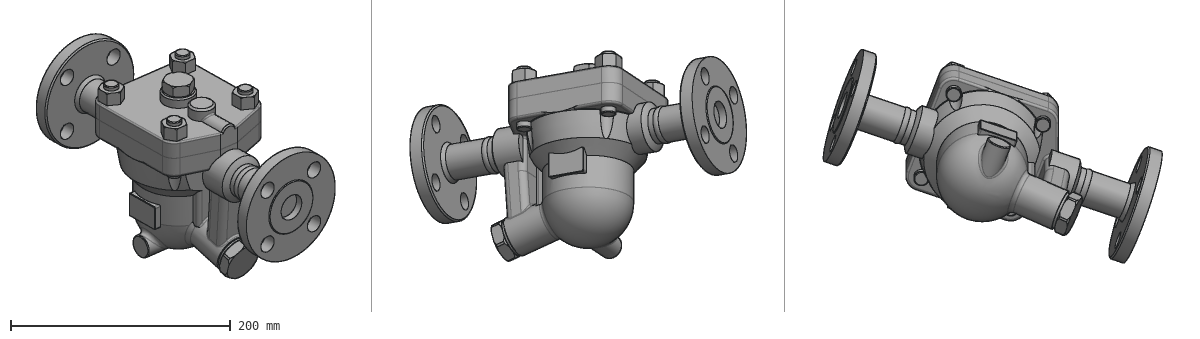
import cadquery as cq
import math


MARGIN = 0.3

INLET_X = -135.3
OUTLET_X = 155.7
RAISED_FACE_DIA = 53.5
RAISED_FACE_TIP_DIA = 51.8
RAISED_FACE_H = 1.0
FLANGE_DIA = 108.0
FLANGE_T = 13.5
FLANGE_CHAMFER = 1.5
FLANGE_HOLE_DIA = 16.0
FLANGE_HOLE_SPACING = 56.5
BORE_DIA = 25.0
BORE_DEPTH = 7.3
PIPE_DIA = 33.2
PIPE_ROOT_DIA = 38.0
PIPE_ROOT_L = 3.8
BEAD_START = 55.0
BEAD_END = 60.5
BEAD_H = 0.73
STUB_DIA = 33.0
BOSS_DIA = 46.0
SHOULDER_START = 65.8
SHOULDER_MID = 66.5
SHOULDER_MID_DIA = 37.5
BOSS_START = 69.3
INLET_BOSS_END_X = -35
OUTLET_BOSS_END_X = 59.5

COVER_TOP = 44.2
SPLIT_Z = 27.5
COVER_BOTTOM = 7.5
COVER_W = 115.0
COVER_HALF = COVER_W / 2
COVER_CORNER_R = 14.3
COVER_TOP_FILLET = 1.5
COVER_BOTTOM_FILLET = 2.3
NOSE_X = 69.8
NOSE_HALF_W = 10.2
STUD_OFFSET = COVER_HALF - COVER_CORNER_R

STUD_DIA = 14.0
STUD_TOP = 61
STUD_BOTTOM = 1.7
STUD_CHAMFER = 1.0
NUT_FLATS = 21.5
NUT_TURNED_DIA = 25.0
NUT_H = 12.8
NUT_CHAMFER = 1.2
RELIEF_DIA = 16.0

COVER_BOSS_X = 32
COVER_BOSS_DIA = 25.0
COVER_BOSS_TOP = 56.5
COVER_BOSS_CHAMFER = 2.0
CHANNEL_DIA = 18.3
CHANNEL_TOP = 49.5
CHANNEL_CHAMFER = 1.5
CHANNEL_FILLET = 1.5

VESSEL_R = 41.5
DOME_Z = -62.5
CONE_BOTTOM = -31.7
CONE_TOP = -18.5
CONE_R = 53.3
NECK_MID_Z = -5.5
NECK_MID_R = 55.5
NECK_R = 57.3
NECK_Z = 7.0
NECK_FLARE_R = 60.2
NECK_FLARE_Z = 10.0

GAP_X0 = 46.3
GAP_X1 = 57.0
COLUMN_W = 32
RIB_CORNER_R = 3.8

PAD_W = 35.8
PAD_H = 24.0
PAD_Y = 44.2
FRONT_PAD_Z = -54.5
REAR_PAD_Z = -37.2
PAD_CORNER_R = 1.5
PAD_CHAMFER = 0.5

STUB_DRAIN_DIA = 22.0
STUB_DRAIN_Z = -90.8
STUB_DRAIN_Y = -46.0
STUB_DRAIN_CHAMFER = 1.0
STUB_DRAIN_FILLET = 4.0

BRANCH_TILT = 15
BRANCH_DIA = 38.0
BRANCH_END = 78.3
BRANCH_FILLET = 5.5
GASKET_DIA = 35
CAP_START = 81.0
CAP_END = 92.0
CAP_FLATS = 36.0
CAP_TURNED_DIA = 40.5
CAP_CHAMFER = 1.7

PILLAR_W = 23.0
PILLAR_BEND_Z = -26.2
PILLAR_BOTTOM = -75.7
PILLAR_TILT = 4
PILLAR_CORNER_R = 6.5
PILLAR_TOP_FILLET = 2.3
FOOT_FILLET = 1.7
FOOT_H = 5.8

PLUG_BOTTOM = 46.5
PLUG_COLLAR_TOP = 56.5
PLUG_COLLAR_DIA = 33.2
PLUG_COLLAR_CHAMFER = 1.5
PLUG_TOP = 67.5
PLUG_FLATS = 26.2
PLUG_TURNED_DIA = 30.3
PLUG_CHAMFER = 1.5


def cylinder_z(dia, z0, z1, x=0, y=0):
    return cq.Workplane("XY", origin=(x, y, z0)).circle(dia / 2).extrude(z1 - z0)


def hex_head(across_flats, turned_dia, height, chamfer, both_ends):
    """Hexagon standing on Z = 0, turned round at its corners and coned at its ends."""
    prism = cq.Workplane("XY").polygon(6, across_flats / math.cos(math.pi / 6)).extrude(height)
    ends = "<Z or >Z" if both_ends else ">Z"
    blank = cylinder_z(turned_dia, 0, height).faces(ends).edges().chamfer(chamfer)
    return prism.intersect(blank)


def pipe_end(boss_length):
    """Flange, pipe and boss along +X, starting at the outer flange face at X = 0."""
    flange_back = RAISED_FACE_H + FLANGE_T
    bead_mid = (BEAD_START + BEAD_END) / 2
    body = (
        cq.Workplane("XY")
        .lineTo(0, RAISED_FACE_TIP_DIA / 2)
        .lineTo(RAISED_FACE_H, RAISED_FACE_DIA / 2)
        .lineTo(RAISED_FACE_H, FLANGE_DIA / 2)
        .lineTo(flange_back - FLANGE_CHAMFER, FLANGE_DIA / 2)
        .lineTo(flange_back, FLANGE_DIA / 2 - FLANGE_CHAMFER)
        .lineTo(flange_back, PIPE_ROOT_DIA / 2)
        .lineTo(flange_back + PIPE_ROOT_L, PIPE_DIA / 2)
        .lineTo(BEAD_START, PIPE_DIA / 2)
        .threePointArc((bead_mid, PIPE_DIA / 2 + BEAD_H), (BEAD_END, STUB_DIA / 2))
        .lineTo(SHOULDER_START, STUB_DIA / 2)
        .threePointArc((SHOULDER_MID, SHOULDER_MID_DIA / 2), (BOSS_START, BOSS_DIA / 2))
        .lineTo(boss_length, BOSS_DIA / 2)
        .lineTo(boss_length, 0)
        .close()
        .revolve(360, (0, 0, 0), (1, 0, 0))
    )
    holes = (
        cq.Workplane("YZ")
        .rect(FLANGE_HOLE_SPACING, FLANGE_HOLE_SPACING, forConstruction=True)
        .vertices()
        .circle(FLANGE_HOLE_DIA / 2)
        .extrude(flange_back)
    )
    bore = cq.Workplane("YZ").circle(BORE_DIA / 2).extrude(BORE_DEPTH)
    return body.cut(holes).cut(bore)


def cover_slab(z0, z1):
    """Plate with rounded corners and sides that taper to a blunt nose."""
    dx = NOSE_X - STUD_OFFSET
    dy = NOSE_HALF_W - STUD_OFFSET
    normal = math.atan2(dy, dx) + math.acos(COVER_CORNER_R / math.hypot(dx, dy))
    mid = (normal + math.pi / 2) / 2

    def corner(angle, side):
        return (
            STUD_OFFSET + COVER_CORNER_R * math.cos(angle),
            side * (STUD_OFFSET + COVER_CORNER_R * math.sin(angle)),
        )

    slab = (
        cq.Workplane("XY", origin=(0, 0, z0))
        .moveTo(-COVER_HALF, -COVER_HALF)
        .lineTo(STUD_OFFSET, -COVER_HALF)
        .threePointArc(corner(mid, -1), corner(normal, -1))
        .lineTo(NOSE_X, -NOSE_HALF_W)
        .lineTo(NOSE_X, NOSE_HALF_W)
        .lineTo(*corner(normal, 1))
        .threePointArc(corner(mid, 1), (STUD_OFFSET, COVER_HALF))
        .lineTo(-COVER_HALF, COVER_HALF)
        .close()
        .extrude(z1 - z0)
    )
    return slab.edges("|Z and <X").fillet(COVER_CORNER_R)


def cover():
    slab = cover_slab(SPLIT_Z, COVER_TOP).faces(">Z").edges().fillet(COVER_TOP_FILLET)
    boss = cylinder_z(COVER_BOSS_DIA, SPLIT_Z, COVER_BOSS_TOP, COVER_BOSS_X)
    boss = boss.faces(">Z").edges().chamfer(COVER_BOSS_CHAMFER)
    channel = (
        cq.Workplane("YZ", origin=(COVER_BOSS_X, 0, CHANNEL_TOP - CHANNEL_DIA / 2))
        .circle(CHANNEL_DIA / 2)
        .extrude(NOSE_X - COVER_BOSS_X)
        .faces(">X")
        .edges()
        .chamfer(CHANNEL_CHAMFER)
    )
    top = slab.union(boss).union(channel)
    joint = cq.selectors.BoxSelector(
        (COVER_BOSS_X, -CHANNEL_DIA / 2, COVER_TOP + MARGIN),
        (COVER_BOSS_X + COVER_BOSS_DIA / 2 + MARGIN, CHANNEL_DIA / 2, CHANNEL_TOP + MARGIN),
    )
    return top.edges(joint).fillet(CHANNEL_FILLET)


def stud_with_nut():
    """Stud along Z with its nut seated on the cover."""
    stud = cylinder_z(STUD_DIA, STUD_BOTTOM, STUD_TOP)
    stud = stud.faces("<Z or >Z").edges().chamfer(STUD_CHAMFER)
    nut = hex_head(NUT_FLATS, NUT_TURNED_DIA, NUT_H, NUT_CHAMFER, False)
    return stud.union(nut.translate((0, 0, COVER_TOP)))


def vessel():
    """Bellied neck, cone, cylinder and dome, turned about Z and trimmed to the cover outline."""
    dome_mid = VESSEL_R * math.sqrt(0.5)
    turned = (
        cq.Workplane("XZ")
        .moveTo(0, NECK_FLARE_Z)
        .lineTo(NECK_FLARE_R, NECK_FLARE_Z)
        .lineTo(NECK_R, NECK_Z)
        .threePointArc((NECK_MID_R, NECK_MID_Z), (CONE_R, CONE_TOP))
        .lineTo(VESSEL_R, CONE_BOTTOM)
        .lineTo(VESSEL_R, DOME_Z)
        .threePointArc((dome_mid, DOME_Z - dome_mid), (0, DOME_Z - VESSEL_R))
        .close()
        .revolve(360, (0, 0, 0), (0, 1, 0))
    )
    return turned.intersect(cover_slab(DOME_Z - 2 * VESSEL_R, SPLIT_Z))


def rib():
    """Upright rib on the vessel wall between the neck and the branch."""
    return (
        cq.Workplane("XY", origin=(GAP_X0 / 2, 0, DOME_Z))
        .rect(GAP_X0, COLUMN_W)
        .extrude(CONE_TOP - DOME_Z)
        .edges("|Z and >X")
        .fillet(RIB_CORNER_R)
    )


def neck_trim():
    """Block that cuts the neck flat on the outlet side."""
    return (
        cq.Workplane("XY", origin=(GAP_X0 + COVER_HALF, 0, DOME_Z))
        .rect(2 * COVER_HALF, 4 * COVER_HALF)
        .extrude(NECK_FLARE_Z - DOME_Z)
    )


def name_pad(z):
    """Pad facing -Y, reaching in to the vessel axis."""
    return (
        cq.Workplane("XZ", origin=(0, 0, z))
        .rect(PAD_W, PAD_H)
        .extrude(PAD_Y)
        .edges("|Y")
        .fillet(PAD_CORNER_R)
        .faces("<Y")
        .edges()
        .chamfer(PAD_CHAMFER)
    )


def drain_stub():
    return (
        cq.Workplane("XZ", origin=(0, 0, STUB_DRAIN_Z))
        .circle(STUB_DRAIN_DIA / 2)
        .extrude(-STUB_DRAIN_Y)
        .faces("<Y")
        .edges()
        .chamfer(STUB_DRAIN_CHAMFER)
    )


def branch():
    """Strainer branch with its hexagon cap, flared where it leaves the dome."""
    radius = BRANCH_DIA / 2
    arc_r = radius + BRANCH_FILLET
    dome_to_arc = VESSEL_R + BRANCH_FILLET
    arc_z = math.sqrt(dome_to_arc**2 - arc_r**2)
    on_dome = VESSEL_R / dome_to_arc
    mid_angle = (math.atan2(arc_r, arc_z) + math.pi / 2) / 2
    flare_mid = (
        arc_r - BRANCH_FILLET * math.sin(mid_angle),
        arc_z - BRANCH_FILLET * math.cos(mid_angle),
    )
    pipe = (
        cq.Workplane("XZ")
        .lineTo(arc_r * on_dome, arc_z * on_dome)
        .threePointArc(flare_mid, (radius, arc_z))
        .lineTo(radius, BRANCH_END)
        .lineTo(0, BRANCH_END)
        .close()
        .revolve(360, (0, 0, 0), (0, 1, 0))
    )
    gasket = cylinder_z(GASKET_DIA, BRANCH_END, CAP_START)
    cap = hex_head(CAP_FLATS, CAP_TURNED_DIA, CAP_END - CAP_START, CAP_CHAMFER, True)
    upright = pipe.union(gasket).union(cap.translate((0, 0, CAP_START)))
    return upright.rotate((0, 0, 0), (0, 1, 0), 90 + BRANCH_TILT).translate((0, 0, DOME_Z))


def pillar():
    """Column from the body flange, past the outlet boss, leaning in to the branch."""
    lean = (PILLAR_BEND_Z - PILLAR_BOTTOM) * math.tan(math.radians(PILLAR_TILT))
    rise = (COVER_BOTTOM - PILLAR_BEND_Z) * math.tan(math.radians(PILLAR_TILT))
    return (
        cq.Workplane("XZ", origin=(0, COLUMN_W / 2, 0))
        .moveTo(GAP_X1, COVER_BOTTOM)
        .lineTo(GAP_X1, PILLAR_BEND_Z)
        .lineTo(GAP_X1 - lean, PILLAR_BOTTOM)
        .lineTo(GAP_X1 - lean + PILLAR_W, PILLAR_BOTTOM)
        .lineTo(GAP_X1 + rise + PILLAR_W, COVER_BOTTOM)
        .close()
        .extrude(COLUMN_W)
        .edges("not (|X or |Y)")
        .fillet(PILLAR_CORNER_R)
    )


def lower_body():
    """Vessel with its rib, branch, pillar and drain stub, blended where they meet."""
    body = vessel().cut(neck_trim()).union(drain_stub())
    near_stub = cq.selectors.BoxSelector(
        (-STUB_DRAIN_DIA, STUB_DRAIN_Y + 2 * STUB_DRAIN_CHAMFER, DOME_Z - VESSEL_R),
        (STUB_DRAIN_DIA, -MARGIN, DOME_Z - MARGIN),
    )
    body = body.edges(near_stub).fillet(STUB_DRAIN_FILLET)
    body = body.union(rib()).union(branch()).union(pillar())
    feet = cq.selectors.BoxSelector(
        (GAP_X0 - RIB_CORNER_R / 2, -COLUMN_W, PILLAR_BOTTOM),
        (GAP_X1 + PILLAR_W, COLUMN_W, DOME_Z + FOOT_H),
    )
    return body.edges(feet).fillet(FOOT_FILLET)


def trap_body():
    inlet = pipe_end(INLET_BOSS_END_X - INLET_X).translate((INLET_X, 0, 0))
    outlet = pipe_end(OUTLET_X - OUTLET_BOSS_END_X)
    outlet = outlet.rotate((0, 0, 0), (0, 0, 1), 180).translate((OUTLET_X, 0, 0))
    flange = cover_slab(COVER_BOTTOM, SPLIT_Z).faces("<Z").edges().fillet(COVER_BOTTOM_FILLET)

    body = lower_body()
    for x in (-STUD_OFFSET, STUD_OFFSET):
        for y in (-STUD_OFFSET, STUD_OFFSET):
            body = body.cut(cylinder_z(RELIEF_DIA, 2 * CONE_BOTTOM, COVER_BOTTOM, x, y))

    body = body.union(name_pad(FRONT_PAD_Z))
    body = body.union(name_pad(REAR_PAD_Z).rotate((0, 0, 0), (0, 0, 1), 180))
    body = body.union(flange).union(inlet)
    pillar_top = cq.selectors.BoxSelector(
        (GAP_X1 - MARGIN, -COLUMN_W / 2, COVER_BOTTOM - MARGIN),
        (GAP_X1 + PILLAR_CORNER_R, COLUMN_W / 2, COVER_BOTTOM + MARGIN),
    )
    body = body.edges(pillar_top).fillet(PILLAR_TOP_FILLET).union(outlet)

    lid = cover()
    stud = stud_with_nut().translate((STUD_OFFSET, STUD_OFFSET, 0))
    for quarter in range(4):
        lid = lid.union(stud.rotate((0, 0, 0), (0, 0, 1), 90 * quarter))
    return body.union(lid, clean=False)


def vent_plug():
    """Plug held clear above the cover."""
    collar = cylinder_z(PLUG_COLLAR_DIA, PLUG_BOTTOM, PLUG_COLLAR_TOP)
    collar = collar.faces(">Z").edges().chamfer(PLUG_COLLAR_CHAMFER)
    head = hex_head(PLUG_FLATS, PLUG_TURNED_DIA, PLUG_TOP - PLUG_COLLAR_TOP, PLUG_CHAMFER, True)
    return collar.union(head.translate((0, 0, PLUG_COLLAR_TOP)))


body = trap_body()
plug = vent_plug()

result = cq.Compound.makeCompound([body.val(), plug.val()])